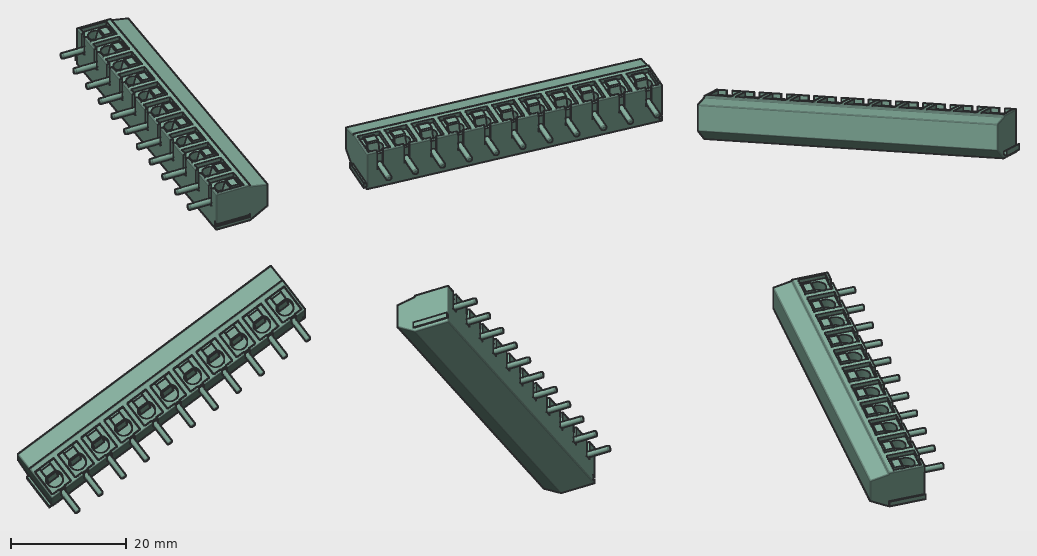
import cadquery as cq

pole_count = 11
rail_depth = 0.55
overall_length = 55.6
body_length = overall_length - rail_depth
pitch = body_length / pole_count
body_depth = 9.95
body_height = 7.6
body_left = -body_length / 2
pole_centers = [body_left + (i + 0.5) * pitch for i in range(pole_count)]

land_depth = 6.55
roof_step = 0.3
roof_back_drop = 0.95
rear_chamfer_height = 2.05
edge_radius = 0.14

rail_center_z = 1.0
rail_tip_height = 1.05
rail_root_height = 0.5

pocket_width = 4.05
pocket_front = 0.5
pocket_back = 5.5
pocket_depth = 0.85
pocket_floor_z = body_height - pocket_depth

well_diameter = 3.0
well_center_y = 2.6
well_back = 3.6
well_depth = 1.8
well_floor_z = pocket_floor_z - well_depth

strip_width = 2.05
strip_rise = 0.5
strip_top_z = pocket_floor_z + strip_rise
strip_bend_y = 5.05
strip_back_rise = 0.35
strip_nose_chamfer = 0.2
strip_toe_y = 2.85

pin_diameter = 1.05
pin_length = 4.15
pin_tip_radius = 0.2
slot_width = 1.05
slot_floor_z = 3.9
slot_depth = pocket_front
pin_center_z = 4.55


def box(x_center, width, y_front, y_back, z_low, z_high):
    """Box centred on x_center and given by its limits in Y and Z."""
    size = (width, y_back - y_front, z_high - z_low)
    return cq.Workplane("XY").box(*size, centered=(True, False, False)).translate((x_center, y_front, z_low))


def extrude_side_profile(points, x_center, width):
    """Extrude a (y, z) outline along X, centred on x_center."""
    profile = cq.Workplane("YZ", origin=(x_center, 0, 0)).polyline(points).close()
    return profile.extrude(width / 2, both=True)


def make_body():
    """Housing with sloped rear faces and rounded outer edges."""
    outline = [
        (0, 0),
        (land_depth, 0),
        (body_depth, rear_chamfer_height),
        (body_depth, body_height - roof_back_drop),
        (land_depth, body_height - roof_step),
        (land_depth, body_height),
        (0, body_height),
    ]
    return extrude_side_profile(outline, 0, body_length).edges().fillet(edge_radius)


def make_dovetail(root_x):
    """Dovetail running back from the front face, widening toward -X."""
    tip_x = root_x - rail_depth
    outline = [
        (root_x, rail_center_z - rail_root_height / 2),
        (root_x, rail_center_z + rail_root_height / 2),
        (tip_x, rail_center_z + rail_tip_height / 2),
        (tip_x, rail_center_z - rail_tip_height / 2),
    ]
    return cq.Workplane("XZ").polyline(outline).close().extrude(-land_depth)


def make_pocket(x):
    """Clamp pocket with its D-shaped screw well and the slot that opens it to the front."""
    pocket = box(x, pocket_width, pocket_front, pocket_back, pocket_floor_z, body_height)
    round_well = cq.Workplane("XY", origin=(x, well_center_y, well_floor_z)).circle(well_diameter / 2)
    well_limit = box(x, well_diameter, 0, well_back, well_floor_z, pocket_floor_z)
    well = round_well.extrude(well_depth).intersect(well_limit)
    slot = box(x, slot_width, 0, slot_depth, slot_floor_z, body_height)
    return pocket.union(well).union(slot)


def make_strip(x):
    """Clamp strip lying on the pocket floor, its front end running steeply down to the well floor."""
    outline = [
        (pocket_back, well_floor_z),
        (pocket_back, pocket_floor_z + strip_back_rise),
        (strip_bend_y, strip_top_z),
        (well_back, strip_top_z),
        (well_back - strip_nose_chamfer, strip_top_z - strip_nose_chamfer),
        (strip_toe_y, well_floor_z),
    ]
    return extrude_side_profile(outline, x, strip_width)


def make_pin(x):
    """Round pin with a rounded tip, rooted at the back of its slot."""
    pin = cq.Workplane("XZ", origin=(x, slot_depth, pin_center_z)).circle(pin_diameter / 2)
    return pin.extrude(pin_length + slot_depth).faces("<Y").edges().fillet(pin_tip_radius)


result = make_body().union(make_dovetail(body_left)).cut(make_dovetail(-body_left))
for x in pole_centers:
    result = result.cut(make_pocket(x)).union(make_strip(x)).union(make_pin(x))